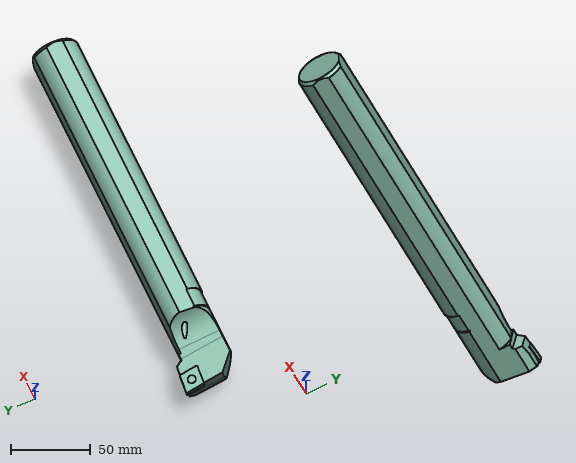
import cadquery as cq
import math

LENGTH = 250.8
BAR_RADIUS = 16.0
HALF_HEIGHT = 15.0
SIDE_FLAT_Y = 14.0
END_CHAMFER_LENGTH = 2.3
END_CHAMFER_DEPTH = 1.5

NECK_END_X = 59.5
NECK_SHIFT = 0.8
GROOVE_X = 46.1
GROOVE_WIDTH = 0.8
GROOVE_DEPTH = 0.3

FLOOR_TILT = 8.3
FLOOR_HEIGHT = 4.5
ARC_START_X = 28.8
ARC_RADIUS = 19.5

SEAT_X = 23.3
SEAT_SKEW = 3.7
SEAT_DROP = 3.0

TIP_X = -0.08
TIP_Y = 21.8
FACE_SETBACK = 0.3
CORNER_START = (2.0, -4.0)
CORNER_END = (14.0, -15.0)
HEAD_SIDE_Y = 20.0
HEAD_SIDE_END_X = 18.5
HEAD_STEP_X = 21.5
HEAD_STEP_Y = 15.5
HEAD_END_X = 25.8
HEAD_BELLY_Y = 19.0
HEAD_BELLY_Z = -9.8
HEAD_FOOT_Y = 14.5
RELIEF_DEPTH = 7.0
RELIEF_ANGLE = 9.0

INSERT_SIDE = 12.8
INSERT_THICKNESS = 4.8
INSERT_ANGLE = 80.0
INSERT_LEAD = 1.5
NOSE_RADIUS = 0.8
INSERT_HOLE_DIAMETER = 5.3

COOLANT_DIAMETER = 3.5
COOLANT_MOUTH = (36.9, 6.3, 6.3)
COOLANT_DEPTH = 12.5
COOLANT_LEAD_IN = 5.0

CLEARANCE = 75.2


def tilted_floor(x):
    """Plane on the tilted floor, with its origin above the bar axis at x."""
    tilt = math.radians(FLOOR_TILT)
    normal = (0, math.sin(tilt), math.cos(tilt))
    return cq.Plane(origin=(x, 0, FLOOR_HEIGHT), xDir=(1, 0, 0), normal=normal)


def seat_plane():
    return tilted_floor(SEAT_X).rotated((0, 0, SEAT_SKEW)).rotated((0, -SEAT_DROP, 0))


def head_plane():
    """Plane parallel to the dropped seat, lined up with the bar axis at the tip."""
    plane = tilted_floor(0)
    drop = SEAT_X * math.tan(math.radians(SEAT_DROP))
    plane.origin = cq.Vector(0, 0, FLOOR_HEIGHT - drop)
    return plane.rotated((0, -SEAT_DROP, 0))


def make_bar():
    """Round bar with three flats, an eased neck and a chamfered rear end."""
    chamfer_x = LENGTH - END_CHAMFER_LENGTH
    bar = (
        cq.Workplane("XY")
        .polyline([
            (0, 0),
            (0, BAR_RADIUS),
            (chamfer_x, BAR_RADIUS),
            (LENGTH, BAR_RADIUS - END_CHAMFER_DEPTH),
            (LENGTH, 0),
        ])
        .close()
        .revolve(360, (0, 0, 0), (1, 0, 0))
    )
    flats = cq.Workplane("XY").box(LENGTH, SIDE_FLAT_Y + BAR_RADIUS, 2 * HALF_HEIGHT)
    bar = bar.intersect(flats.translate((LENGTH / 2, (SIDE_FLAT_Y - BAR_RADIUS) / 2, 0)))
    eased = cq.Workplane("YZ").center(NECK_SHIFT, 0).circle(BAR_RADIUS).extrude(NECK_END_X)
    surround = cq.Workplane("YZ").rect(CLEARANCE, CLEARANCE).extrude(NECK_END_X)
    return bar.cut(surround.cut(eased))


def cut_neck_groove(body):
    ring = (
        cq.Workplane("YZ", origin=(GROOVE_X, NECK_SHIFT, 0))
        .circle(2 * BAR_RADIUS)
        .circle(BAR_RADIUS - GROOVE_DEPTH)
        .extrude(GROOVE_WIDTH)
    )
    return body.cut(ring)


def make_head_bulge():
    """Overhang on the +Y side that carries the insert."""
    return (
        cq.Workplane("YZ")
        .polyline([
            (0, -HALF_HEIGHT),
            (HEAD_FOOT_Y, -HALF_HEIGHT),
            (HEAD_BELLY_Y, HEAD_BELLY_Z),
            (TIP_Y, FLOOR_HEIGHT),
            (0, FLOOR_HEIGHT),
        ])
        .close()
        .extrude(HEAD_END_X)
    )


def trim_to_outline(body):
    """Trim the head to its outline, square to the seat."""
    outline = (
        cq.Workplane(head_plane())
        .polyline([
            (FACE_SETBACK, TIP_Y),
            (CORNER_START[0] + FACE_SETBACK, CORNER_START[1]),
            CORNER_END,
            (CORNER_END[0], -CLEARANCE),
            (LENGTH + CLEARANCE, -CLEARANCE),
            (LENGTH + CLEARANCE, CLEARANCE),
            (ARC_START_X, CLEARANCE),
            (ARC_START_X, HEAD_STEP_Y),
            (HEAD_STEP_X, HEAD_STEP_Y),
            (HEAD_SIDE_END_X, HEAD_SIDE_Y),
        ])
        .close()
        .extrude(CLEARANCE, both=True)
    )
    return body.intersect(outline)


def cut_chip_clearance(body):
    """Cut the floor, its swept arc and the dropped seat."""
    floor = tilted_floor(ARC_START_X)
    profile_plane = cq.Plane(origin=floor.origin, xDir=floor.xDir, normal=-floor.yDir)
    sweep = (
        cq.Workplane(profile_plane)
        .moveTo(-CLEARANCE, 0)
        .lineTo(0, 0)
        .radiusArc((ARC_RADIUS, ARC_RADIUS), -ARC_RADIUS)
        .lineTo(-CLEARANCE, ARC_RADIUS)
        .close()
        .extrude(CLEARANCE, both=True)
    )
    seat = (
        cq.Workplane(seat_plane())
        .center(-CLEARANCE / 2, 0)
        .rect(CLEARANCE, CLEARANCE)
        .extrude(ARC_RADIUS)
    )
    return body.cut(sweep).cut(seat)


def cut_face_relief(body):
    """Slope the lower part of the front face back under the cutting edge."""
    run_x = CORNER_START[0]
    run_y = CORNER_START[1] - TIP_Y
    edge_angle = math.degrees(math.atan2(run_x, -run_y))
    plane = head_plane()
    plane = cq.Plane(
        origin=plane.toWorldCoords((FACE_SETBACK, TIP_Y, -RELIEF_DEPTH)),
        xDir=plane.xDir,
        normal=plane.zDir,
    )
    plane = plane.rotated((0, 0, edge_angle)).rotated((0, -RELIEF_ANGLE, 0))
    relief = (
        cq.Workplane(plane)
        .center(-CLEARANCE / 2, 0)
        .rect(CLEARANCE, 2 * CLEARANCE)
        .extrude(-CLEARANCE)
    )
    return body.cut(relief)


def cut_coolant_hole(body):
    mouth = cq.Vector(*COOLANT_MOUTH)
    aim = (mouth - cq.Vector(TIP_X, TIP_Y, 0)).normalized()
    start = mouth - aim * COOLANT_LEAD_IN
    hole_length = COOLANT_LEAD_IN + COOLANT_DEPTH
    hole = cq.Solid.makeCylinder(COOLANT_DIAMETER / 2, hole_length, start, aim)
    return body.cut(cq.Workplane(hole))


def make_insert():
    """Rhombic cutting insert, flush with the seat, with a hole through its middle."""
    plane = seat_plane()
    tip = plane.toLocalCoords(cq.Vector(TIP_X, TIP_Y, 0))
    front = math.radians(INSERT_LEAD - 90)
    side = front + math.radians(INSERT_ANGLE)
    front_run = (INSERT_SIDE * math.cos(front), INSERT_SIDE * math.sin(front))
    side_run = (INSERT_SIDE * math.cos(side), INSERT_SIDE * math.sin(side))
    middle = (tip.x + (front_run[0] + side_run[0]) / 2, tip.y + (front_run[1] + side_run[1]) / 2)
    blank = (
        cq.Workplane(plane)
        .polyline([
            (tip.x, tip.y),
            (tip.x + front_run[0], tip.y + front_run[1]),
            (tip.x + front_run[0] + side_run[0], tip.y + front_run[1] + side_run[1]),
            (tip.x + side_run[0], tip.y + side_run[1]),
        ])
        .close()
        .extrude(-INSERT_THICKNESS)
        .edges(cq.selectors.ParallelDirSelector(plane.zDir))
        .fillet(NOSE_RADIUS)
    )
    hole = (
        cq.Workplane(plane)
        .center(*middle)
        .circle(INSERT_HOLE_DIAMETER / 2)
        .extrude(-INSERT_THICKNESS)
    )
    return blank.cut(hole)


def make_holder(insert):
    """Bar and head in one piece, with a pocket and peg that fit the insert."""
    holder = cut_neck_groove(make_bar()).union(make_head_bulge())
    holder = trim_to_outline(holder)
    holder = cut_chip_clearance(holder)
    holder = cut_face_relief(holder)
    holder = cut_coolant_hole(holder)
    return holder.cut(insert)


insert = make_insert()
holder = make_holder(insert)
result = cq.Compound.makeCompound([holder.val(), insert.val()])